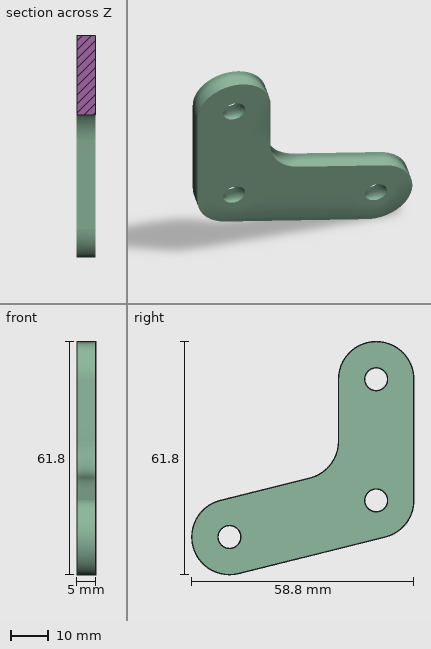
import cadquery as cq
import math

height = 61.75
thickness = 5.0
end_radius = 10.0
inner_radius = 10.0
hole_diameter = 6.0
lower_arm_length = 40.0
lower_arm_slope = math.radians(14)

tip_drop = lower_arm_length * math.sin(lower_arm_slope)
upper_arm_length = height - 2 * end_radius - tip_drop
corner = (0, 0)
top = (0, upper_arm_length)
tip = (-lower_arm_length * math.cos(lower_arm_slope), -tip_drop)


def around(center, radius, angle):
    """Point on a circle at an angle from +Y towards +Z."""
    return (center[0] + radius * math.cos(angle), center[1] + radius * math.sin(angle))


plus_y = 0
plus_z = math.pi / 2
minus_y = math.pi
lower_side = -math.pi / 2 + lower_arm_slope
upper_side = lower_side + math.pi
tip_direction = math.pi + lower_arm_slope

fillet_offset = end_radius + inner_radius
fillet_y = -fillet_offset
fillet_z = (fillet_offset - fillet_y * math.cos(upper_side)) / math.sin(upper_side)
fillet_center = (fillet_y, fillet_z)
fillet_middle = (plus_y + lower_side) / 2

plate = (
    cq.Workplane("YZ")
    .moveTo(*around(top, end_radius, plus_y))
    .threePointArc(around(top, end_radius, plus_z), around(top, end_radius, minus_y))
    .lineTo(*around(fillet_center, inner_radius, plus_y))
    .threePointArc(
        around(fillet_center, inner_radius, fillet_middle),
        around(fillet_center, inner_radius, lower_side),
    )
    .lineTo(*around(tip, end_radius, upper_side))
    .threePointArc(around(tip, end_radius, tip_direction), around(tip, end_radius, lower_side))
    .lineTo(*around(corner, end_radius, lower_side))
    .threePointArc(
        around(corner, end_radius, (lower_side + plus_y) / 2),
        around(corner, end_radius, plus_y),
    )
    .close()
    .extrude(thickness)
)

holes = (
    cq.Workplane("YZ")
    .pushPoints([corner, top, tip])
    .circle(hole_diameter / 2)
    .extrude(thickness)
)

result = plate.cut(holes)